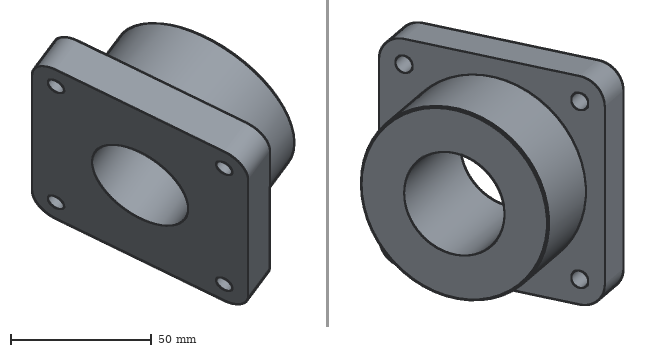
import cadquery as cq

flange_side = 90.0
total_depth = 45.0
flange_thickness = 15.0
corner_radius = 10.0
spigot_diameter = 75.0
spigot_chamfer = 0.5
bore_diameter = 40.0
bolt_hole_diameter = 6.75
bolt_spacing = flange_side - 2 * corner_radius

flange = (
    cq.Workplane("XZ")
    .rect(flange_side, flange_side)
    .extrude(-flange_thickness)
    .edges("|Y")
    .fillet(corner_radius)
)

spigot = (
    cq.Workplane("XZ")
    .circle(spigot_diameter / 2)
    .extrude(-total_depth)
    .faces(">Y")
    .chamfer(spigot_chamfer)
)

bore = cq.Workplane("XZ").circle(bore_diameter / 2).extrude(-total_depth)
bolt_holes = (
    cq.Workplane("XZ")
    .rect(bolt_spacing, bolt_spacing, forConstruction=True)
    .vertices()
    .circle(bolt_hole_diameter / 2)
    .extrude(-flange_thickness)
)

result = flange.union(spigot).cut(bore).cut(bolt_holes)